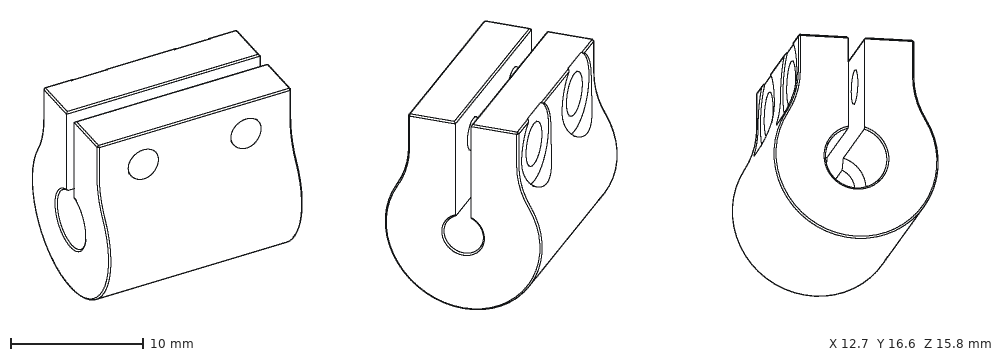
import cadquery as cq
import math

length = 16.57
overall_height = 15.82
body_radius = 12.68 / 2
top_z = overall_height - body_radius
neck_half_width = 4.45
blend_radius = body_radius
edge_chamfer = 0.13

large_bore_radius = 2.37
small_bore_radius = 1.59
large_bore_depth = length / 2
drill_point_half_angle = 59.0

slot_width = 1.25

screw_spacing = 8.78
screw_z = 6.65
clearance_diameter = 3.45
thread_diameter = 2.58
head_diameter = 6.35
head_seat_x = -4.28

front_y = -length / 2
back_y = length / 2


def clamp_body():
    """Round body flowing through concave blends into a straight neck."""
    blend_x = neck_half_width + blend_radius
    center_distance = body_radius + blend_radius
    blend_z = math.sqrt(center_distance**2 - blend_x**2)
    tangent_x = blend_x * body_radius / center_distance
    tangent_z = blend_z * body_radius / center_distance

    mid_angle = math.atan2(blend_z, blend_x) / 2
    mid_x = blend_x - blend_radius * math.cos(mid_angle)
    mid_z = blend_z - blend_radius * math.sin(mid_angle)

    return (
        cq.Workplane("XZ", origin=(0, back_y, 0))
        .moveTo(-neck_half_width, top_z)
        .lineTo(neck_half_width, top_z)
        .lineTo(neck_half_width, blend_z)
        .threePointArc((mid_x, mid_z), (tangent_x, tangent_z))
        .threePointArc((0, -body_radius), (-tangent_x, tangent_z))
        .threePointArc((-mid_x, mid_z), (-neck_half_width, blend_z))
        .close()
        .extrude(length)
        .faces("<Y or >Y or >Z")
        .edges()
        .chamfer(edge_chamfer)
    )


def stepped_bore():
    """Revolved cutter: large front bore, conical step, small rear bore, chamfered mouths."""
    step_y = front_y + large_bore_depth
    cone_length = (large_bore_radius - small_bore_radius) / math.tan(math.radians(drill_point_half_angle))
    return (
        cq.Workplane("XY")
        .moveTo(0, front_y)
        .lineTo(large_bore_radius + edge_chamfer, front_y)
        .lineTo(large_bore_radius, front_y + edge_chamfer)
        .lineTo(large_bore_radius, step_y)
        .lineTo(small_bore_radius, step_y + cone_length)
        .lineTo(small_bore_radius, back_y - edge_chamfer)
        .lineTo(small_bore_radius + edge_chamfer, back_y)
        .lineTo(0, back_y)
        .close()
        .revolve(360, (0, 0, 0), (0, 1, 0))
    )


def clamping_slot():
    """Full-length slot from the bore to the top, widened by a chamfer at its mouth."""
    half_width = slot_width / 2
    return (
        cq.Workplane("XZ", origin=(0, back_y, 0))
        .moveTo(-half_width, 0)
        .lineTo(half_width, 0)
        .lineTo(half_width, top_z - edge_chamfer)
        .lineTo(half_width + edge_chamfer, top_z)
        .lineTo(-half_width - edge_chamfer, top_z)
        .lineTo(-half_width, top_z - edge_chamfer)
        .close()
        .extrude(length)
    )


def screw_cylinder(y, diameter, start_x, end_x):
    """Cylinder along X on a screw axis."""
    return (
        cq.Workplane("YZ", origin=(start_x, y, screw_z))
        .circle(diameter / 2)
        .extrude(end_x - start_x)
    )


result = clamp_body().cut(stepped_bore()).cut(clamping_slot())

for screw_y in (-screw_spacing / 2, screw_spacing / 2):
    result = result.cut(screw_cylinder(screw_y, head_diameter, -body_radius, head_seat_x))
    result = result.cut(screw_cylinder(screw_y, clearance_diameter, -body_radius, 0))
    result = result.cut(screw_cylinder(screw_y, thread_diameter, 0, body_radius))